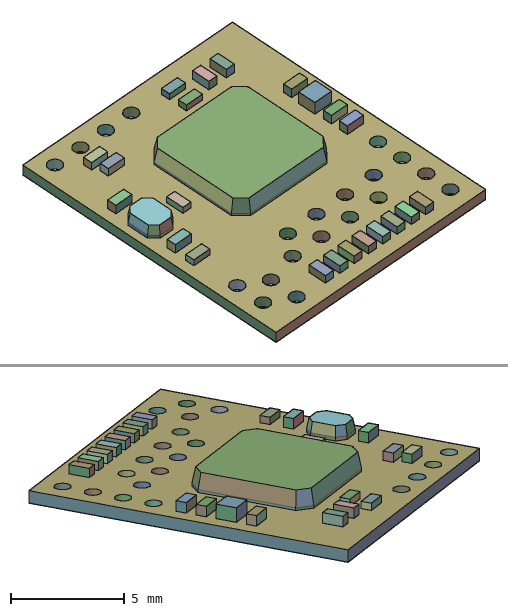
import cadquery as cq
import math

BOARD_LENGTH = 15.7
BOARD_WIDTH = 13.2
BOARD_THICKNESS = 0.6
TOTAL_HEIGHT = 1.5

HOLE_DIAMETER = 0.75
EDGE_MARGIN = 1.0
STRAIGHT_ROW_COUNT = 4
WIDE_PITCH = 1.6
TOP_ROW_START_X = 10.11
TOP_ROW_Y = 12.1
TOP_ROW_PITCH = 1.49
ZIGZAG_X = 11.51
ZIGZAG_COLUMN_STEP = 1.2
LOWER_RIGHT_X = 12.31
LOWER_RIGHT_ROW_STEP = 1.3

RIGHT_ROW_COUNT = 8
RIGHT_ROW_FIRST_Y = 4.1
RIGHT_ROW_SPAN = 6.31
RIGHT_CHIP_X = 14.48

CHIP_LENGTH = 1.0
CHIP_WIDTH = 0.5
LOW_CHIP = 0.35
MEDIUM_CHIP = 0.44
TALL_CHIP = 0.5
TOP_CHIP_Y = 12.0
TOP_CHIP_XS = (5.1, 7.57, 8.55)
LEFT_FLAT_CHIP_X = 1.88
LEFT_FLAT_CHIP_YS = (9.55, 10.65)
LEFT_UPRIGHT_CHIP_Y = 8.12
LEFT_UPRIGHT_CHIP_XS = (1.35, 2.4)
LOWER_LEFT_CHIP_CENTERS = ((2.15, 2.4), (2.95, 2.64))
BOTTOM_CHIP_Y = 1.1
BOTTOM_TALL_CHIP_XS = (4.93, 8.62)
BOTTOM_LOW_CHIP_CENTER = (9.78, 1.08)
CRYSTAL_CHIP_CENTER = (6.77, 2.95)

BLOCK_CENTER = (6.35, 11.96)
BLOCK_LENGTH = 1.0
BLOCK_WIDTH = 1.05
BLOCK_HEIGHT = 0.69

PROCESSOR_CENTER = (6.5, 7.1)
PROCESSOR_SIDE = 6.0
PROCESSOR_CORNER = 0.6
PROCESSOR_LIP = 0.13
PROCESSOR_INSET = 0.15
CRYSTAL_CENTER = (6.7, 1.24)
CRYSTAL_LENGTH = 2.0
CRYSTAL_WIDTH = 1.6
CRYSTAL_HEIGHT = 0.69
CRYSTAL_CORNER = 0.4
CRYSTAL_LIP = 0.17
CRYSTAL_INSET = 0.1

right_rows = [
    RIGHT_ROW_FIRST_Y + i * RIGHT_ROW_SPAN / (RIGHT_ROW_COUNT - 1)
    for i in range(RIGHT_ROW_COUNT)
]


def hole_centers():
    """Centres of all through holes in the board."""
    left_column = [
        (EDGE_MARGIN, EDGE_MARGIN + i * WIDE_PITCH)
        for i in range(STRAIGHT_ROW_COUNT)
    ]
    top_row = [
        (TOP_ROW_START_X + i * TOP_ROW_PITCH, TOP_ROW_Y)
        for i in range(STRAIGHT_ROW_COUNT)
    ]
    zigzag = [
        (ZIGZAG_X + (ZIGZAG_COLUMN_STEP if i % 2 == 0 else 0), y)
        for i, y in enumerate(right_rows)
    ]
    lower_right = [
        (LOWER_RIGHT_X + (column + row / 2) * WIDE_PITCH, EDGE_MARGIN + row * LOWER_RIGHT_ROW_STEP)
        for row in range(2)
        for column in range(2)
    ]
    return left_column + top_row + zigzag + lower_right


def block(center, length, width, height):
    """Rectangular component standing on the board."""
    base = cq.Workplane("XY", origin=(*center, BOARD_THICKNESS))
    return base.box(length, width, height, centered=(True, True, False))


def flat_chip(x, y, height):
    """Small chip with its long side along X."""
    return block((x, y), CHIP_LENGTH, CHIP_WIDTH, height)


def upright_chip(x, y, height):
    """Small chip with its long side along Y."""
    return block((x, y), CHIP_WIDTH, CHIP_LENGTH, height)


def package(center, length, width, height, corner, lip, inset):
    """Component with cut corners, a straight lip and walls leaning inward above it."""
    taper_height = height - lip
    taper_angle = math.degrees(math.atan2(inset, taper_height))
    base = block(center, length, width, lip).edges("|Z").chamfer(corner)
    upper = base.faces(">Z").wires().toPending().workplane()
    return upper.extrude(taper_height, taper=taper_angle)


board = cq.Workplane("XY").box(BOARD_LENGTH, BOARD_WIDTH, BOARD_THICKNESS, centered=False)
holes = (
    cq.Workplane("XY")
    .pushPoints(hole_centers())
    .circle(HOLE_DIAMETER / 2)
    .extrude(BOARD_THICKNESS)
)

right_chips = [flat_chip(RIGHT_CHIP_X, y, MEDIUM_CHIP) for y in right_rows]
top_chips = [upright_chip(x, TOP_CHIP_Y, TALL_CHIP) for x in TOP_CHIP_XS]
left_flat_chips = [flat_chip(LEFT_FLAT_CHIP_X, y, TALL_CHIP) for y in LEFT_FLAT_CHIP_YS]
left_upright_chips = [
    upright_chip(x, LEFT_UPRIGHT_CHIP_Y, LOW_CHIP) for x in LEFT_UPRIGHT_CHIP_XS
]
lower_left_chips = [upright_chip(x, y, MEDIUM_CHIP) for x, y in LOWER_LEFT_CHIP_CENTERS]
bottom_tall_chips = [upright_chip(x, BOTTOM_CHIP_Y, TALL_CHIP) for x in BOTTOM_TALL_CHIP_XS]
bottom_low_chip = upright_chip(*BOTTOM_LOW_CHIP_CENTER, LOW_CHIP)
crystal_chip = flat_chip(*CRYSTAL_CHIP_CENTER, LOW_CHIP)

tall_block = block(BLOCK_CENTER, BLOCK_LENGTH, BLOCK_WIDTH, BLOCK_HEIGHT)
processor = package(
    PROCESSOR_CENTER,
    PROCESSOR_SIDE,
    PROCESSOR_SIDE,
    TOTAL_HEIGHT - BOARD_THICKNESS,
    PROCESSOR_CORNER,
    PROCESSOR_LIP,
    PROCESSOR_INSET,
)
crystal = package(
    CRYSTAL_CENTER,
    CRYSTAL_LENGTH,
    CRYSTAL_WIDTH,
    CRYSTAL_HEIGHT,
    CRYSTAL_CORNER,
    CRYSTAL_LIP,
    CRYSTAL_INSET,
)

components = [
    *right_chips,
    *top_chips,
    *left_flat_chips,
    *left_upright_chips,
    *lower_left_chips,
    *bottom_tall_chips,
    bottom_low_chip,
    crystal_chip,
    tall_block,
    processor,
    crystal,
]

result = board.cut(holes)
for component in components:
    result = result.union(component)